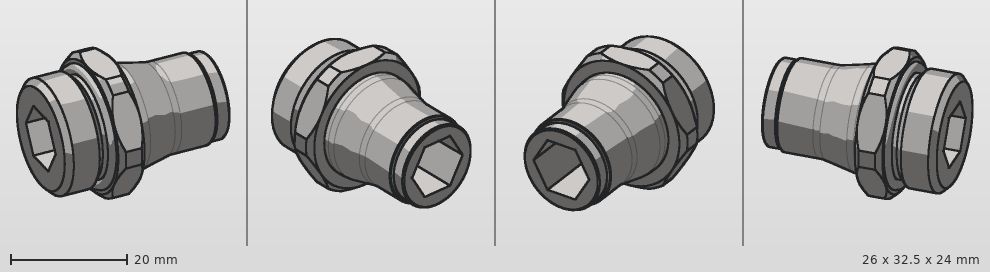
import cadquery as cq
import math

LENGTH = 32.5

thread_radius = 10.5
thread_chamfer = 1.17
thread_end = 6.15
relief_radius = thread_radius - thread_chamfer
relief_start = thread_end + thread_chamfer

seal_start = 7.93
seal_outer_radius = 11.25
seal_tube_radius = 0.98

hex_start = 8.97
hex_end = 14.0
hex_across_flats = 24.0
hex_corner_diameter = 26.0

shoulder_radius = 9.72
shoulder_end = 15.05
taper_angle = math.radians(12.5)
blend_radius = 6.05
sleeve_radius = 8.25
sleeve_end = 29.58
sleeve_chamfer = 0.13

blend_length = blend_radius * math.sin(taper_angle)
blend_drop = blend_radius * (1 - math.cos(taper_angle))
cone_start = shoulder_end + blend_length
cone_start_radius = shoulder_radius - blend_drop
cone_end_radius = sleeve_radius + blend_drop
cone_end = cone_start + (cone_start_radius - cone_end_radius) / math.tan(taper_angle)
sleeve_start = cone_end + blend_length

groove_radius = 7.05
collar_start = 29.93
collar_radius = 7.83
collar_chamfer = 0.25
collar_inner_chamfer = 0.1

bore_across_flats = 10.0


def hexagon_prism(across_flats, start, end):
    """Prism along Y with two flats facing +Z and -Z."""
    across_corners = across_flats / math.cos(math.radians(30))
    return (
        cq.Workplane("XZ", origin=(0, start, 0))
        .polygon(6, across_corners)
        .extrude(start - end)
    )


def revolve_about_y(profile):
    return profile.close().revolve(360, (0, 0, 0), (0, 1, 0))


def turned_body():
    profile = (
        cq.Workplane("XY")
        .moveTo(0, 0)
        .lineTo(thread_radius - thread_chamfer, 0)
        .lineTo(thread_radius, thread_chamfer)
        .lineTo(thread_radius, thread_end)
        .lineTo(relief_radius, relief_start)
        .lineTo(relief_radius, hex_start)
        .lineTo(shoulder_radius, hex_start)
        .lineTo(shoulder_radius, shoulder_end)
        .tangentArcPoint((cone_start_radius, cone_start), relative=False)
        .lineTo(cone_end_radius, cone_end)
        .tangentArcPoint((sleeve_radius, sleeve_start), relative=False)
        .lineTo(sleeve_radius, sleeve_end - sleeve_chamfer)
        .lineTo(sleeve_radius - sleeve_chamfer, sleeve_end)
        .lineTo(groove_radius, sleeve_end)
        .lineTo(groove_radius, collar_start)
        .lineTo(collar_radius - collar_inner_chamfer, collar_start)
        .lineTo(collar_radius, collar_start + collar_inner_chamfer)
        .lineTo(collar_radius, LENGTH - collar_chamfer)
        .lineTo(collar_radius - collar_chamfer, LENGTH)
        .lineTo(0, LENGTH)
    )
    return revolve_about_y(profile)


def o_ring():
    section = (
        cq.Workplane("XY")
        .center(seal_outer_radius - seal_tube_radius, seal_start + seal_tube_radius)
        .circle(seal_tube_radius)
    )
    axis_offset = seal_tube_radius - seal_outer_radius
    return section.revolve(360, (axis_offset, 0, 0), (axis_offset, 1, 0))


def wrench_hexagon():
    """Hexagon with corners turned down and both ends chamfered at 45 degrees."""
    corner_radius = hex_corner_diameter / 2
    face_radius = hex_across_flats / 2
    chamfer = corner_radius - face_radius
    envelope = (
        cq.Workplane("XY")
        .moveTo(0, hex_start)
        .lineTo(face_radius, hex_start)
        .lineTo(corner_radius, hex_start + chamfer)
        .lineTo(corner_radius, hex_end - chamfer)
        .lineTo(face_radius, hex_end)
        .lineTo(0, hex_end)
    )
    prism = hexagon_prism(hex_across_flats, hex_start, hex_end)
    return prism.intersect(revolve_about_y(envelope))


bore = hexagon_prism(bore_across_flats, 0, LENGTH)
result = turned_body().union(wrench_hexagon()).union(o_ring()).cut(bore)